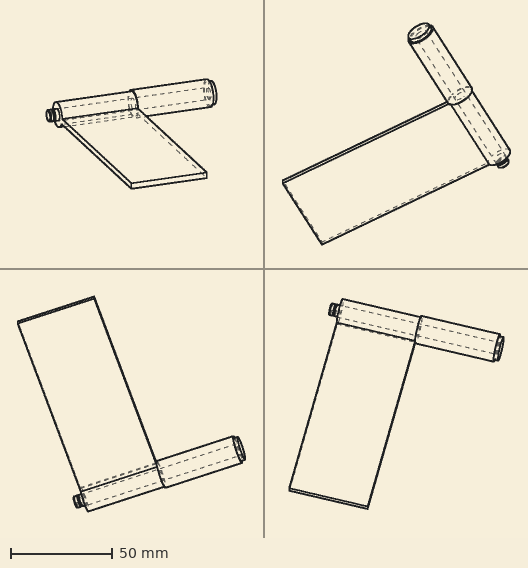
import cadquery as cq


total_width = 107.0
barrel_length = 40.0
sleeve_diameter = 14.0
knuckle_diameter = 12.6

plate_thickness = 3.0
plate_top = 0.0
plate_end = total_width - sleeve_diameter / 2

pin_diameter = 6.0
head_diameter = 12.0
head_length = 2.0
tail_length = 4.9
tail_chamfer = 0.4
groove_diameter = 4.5
groove_width = 0.7
groove_offset = 2.1


def cylinder_along_y(diameter, y_start, y_end):
    """Solid cylinder centred on the hinge axis between two Y positions."""
    section = cq.Workplane("XZ", origin=(0, y_start, 0)).circle(diameter / 2)
    return section.extrude(y_start - y_end)


def make_sleeve():
    """Plain tube for the pin, with no leaf of its own."""
    bore = cylinder_along_y(pin_diameter, 0, barrel_length)
    return cylinder_along_y(sleeve_diameter, 0, barrel_length).cut(bore)


def make_leaf():
    """Flat plate with a bored knuckle along its edge."""
    knuckle = cylinder_along_y(knuckle_diameter, -barrel_length, 0)
    plate = cq.Workplane("XY", origin=(0, -barrel_length, plate_top - plate_thickness)).box(
        plate_end, barrel_length, plate_thickness, centered=False
    )
    bore = cylinder_along_y(pin_diameter, -barrel_length, 0)
    return knuckle.union(plate).cut(bore)


def make_pin():
    """Headed pin through both barrels, with a retaining-ring groove in its tail."""
    shank = cylinder_along_y(pin_diameter, -barrel_length - tail_length, barrel_length)
    shank = shank.faces("<Y").chamfer(tail_chamfer)
    head = cylinder_along_y(head_diameter, barrel_length, barrel_length + head_length)

    groove_top = -barrel_length - groove_offset
    groove_bottom = groove_top - groove_width
    groove_core = cylinder_along_y(groove_diameter, groove_bottom, groove_top)
    groove = cylinder_along_y(pin_diameter, groove_bottom, groove_top).cut(groove_core)
    return shank.union(head).cut(groove)


sleeve = make_sleeve()
leaf = make_leaf()
pin = make_pin()

result = cq.Compound.makeCompound([sleeve.val(), leaf.val(), pin.val()])